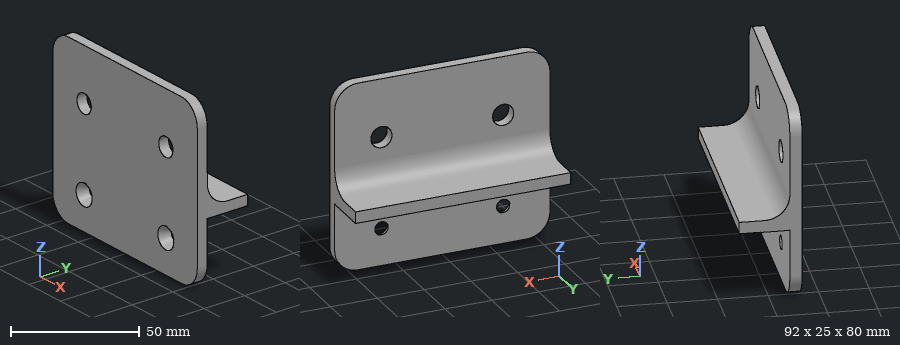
import cadquery as cq

width = 92.0
height = 80.0
plate_thickness = 5.0
corner_radius = 10.0

overall_depth = 25.0
shelf_thickness = 5.0
shelf_bottom = 30.0
shelf_top = shelf_bottom + shelf_thickness
shelf_fillet_radius = 10.0

hole_spacing = 52.0
upper_hole_height = 55.0
upper_hole_diameter = 8.9
lower_hole_height = 16.0
lower_hole_front_diameter = 10.1
lower_hole_back_diameter = 5.5


def make_plate():
    return (
        cq.Workplane("XY")
        .box(width, plate_thickness, height, centered=(True, False, False))
        .edges("|Y")
        .fillet(corner_radius)
    )


def make_shelf():
    """Full-width shelf with a concave blend up to the back of the plate."""
    blend_end_y = plate_thickness + shelf_fillet_radius
    blend_end_z = shelf_top + shelf_fillet_radius
    return (
        cq.Workplane("YZ", origin=(-width / 2, 0, 0))
        .moveTo(0, shelf_bottom)
        .lineTo(overall_depth, shelf_bottom)
        .lineTo(overall_depth, shelf_top)
        .lineTo(blend_end_y, shelf_top)
        .radiusArc((plate_thickness, blend_end_z), shelf_fillet_radius)
        .lineTo(0, blend_end_z)
        .close()
        .extrude(width)
    )


def hole_centres(row_height):
    """Centres of the two holes in a row, on the front face."""
    return [cq.Vector(side * hole_spacing / 2, 0, row_height) for side in (-1, 1)]


def drill_hole(body, centre, front_diameter, back_diameter):
    """Cut through the plate, tapering evenly where the two diameters differ."""
    back_direction = cq.Vector(0, 1, 0)
    if front_diameter == back_diameter:
        cutter = cq.Solid.makeCylinder(
            front_diameter / 2, plate_thickness, centre, back_direction
        )
    else:
        cutter = cq.Solid.makeCone(
            front_diameter / 2, back_diameter / 2, plate_thickness, centre, back_direction
        )
    return body.cut(cutter)


result = make_plate().union(make_shelf())
for centre in hole_centres(upper_hole_height):
    result = drill_hole(result, centre, upper_hole_diameter, upper_hole_diameter)
for centre in hole_centres(lower_hole_height):
    result = drill_hole(result, centre, lower_hole_front_diameter, lower_hole_back_diameter)